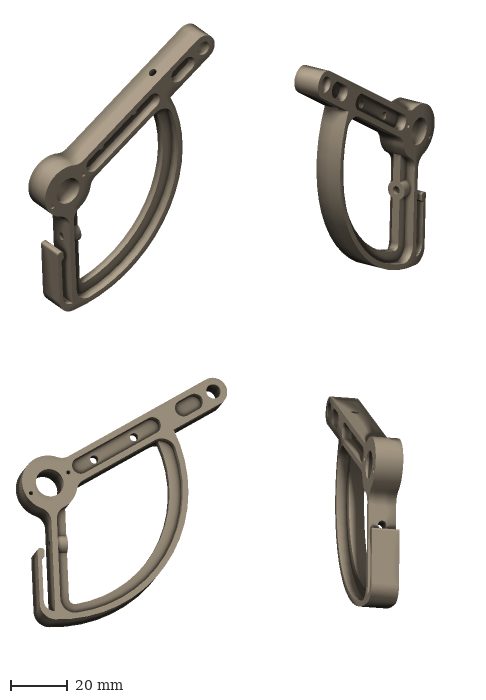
import cadquery as cq
import math

thickness = 10.0
recess_depth = 3.5
half_thickness = thickness / 2

tilt = 2.4
arm_angle = 150

hub_radius = 10.0
bore_radius = 5.0
pin_hole_radius = 0.7
pin_circle_radius = 8.0
blend_radius = 5.0

arm_length = 70.0
arm_half_width = 5.0
end_hole_radius = 3.0
end_hole_lip_radius = 2.6
end_hole_lip_length = 1.0
pocket_radius = 3.0
pocket_spans = [(13.05, 44.05), (57.0, 62)]
arm_hole_stations = [20.0, 37]
screw_radius = 1.5
arm_screw_station = 51.3

rim_radius = 50.1
rim_width = 2.0
web_width = 4.0
web_corner_radius = 2.0
recess_radius = rim_radius - rim_width
window_radius = recess_radius - web_width
window_edge = -(rim_width + web_width)

boss_radius = 3.5
boss_drop = 21.5

hook_gap = 4.0
hook_thickness = 1.5
hook_edge = hook_gap + hook_thickness
hook_top = -24.1
hook_floor_radius = 47.0
hook_outer_corner = 5.5
hook_inner_corner = 3.7
tip_projection = 1.0
tip_height = 2.8
tip_ramp = 0.9
tip_rounding = 0.9

slant = math.radians(tilt)
plane = cq.Plane(
    origin=(0, 0, 0),
    xDir=(0, -math.cos(slant), -math.sin(slant)),
    normal=(-1, 0, 0),
)


def section():
    return cq.Workplane(plane)


def disc(radius, center=(0, 0)):
    return section().center(*center).circle(radius).extrude(half_thickness, both=True)


def block(left, right, bottom, top):
    sketch = section().center((left + right) / 2, (bottom + top) / 2)
    return sketch.rect(right - left, top - bottom).extrude(half_thickness, both=True)


def prism(points):
    return section().polyline(points).close().extrude(half_thickness, both=True)


def polar(radius, angle):
    return radius * math.cos(math.radians(angle)), radius * math.sin(math.radians(angle))


def on_arm(station, offset=0):
    """Point at a station along the arm, offset towards its upper edge."""
    along = polar(station, arm_angle)
    across = polar(offset, arm_angle - 90)
    return along[0] + across[0], along[1] + across[1]


def stadium(start, end, radius):
    sides = [on_arm(start, radius), on_arm(end, radius), on_arm(end, -radius), on_arm(start, -radius)]
    return prism(sides).union(disc(radius, on_arm(start))).union(disc(radius, on_arm(end)))


def round_edge(solid, point, radius):
    """Round the thickness-direction edge closest to a point of the working plane."""
    target = plane.toWorldCoords((*point, 0)).toTuple()
    return solid.edges("|X").edges(cq.selectors.NearestToPointSelector(target)).fillet(radius)


def wedge(radius):
    reach = 2 * radius
    points = [(0, 0), (0, -reach), (-reach, -reach), polar(reach, arm_angle)]
    return disc(radius).intersect(prism(points))


def make_hook():
    hook = disc(rim_radius).intersect(block(-hook_edge, hook_edge, -rim_radius, hook_top))
    corner_height = math.sqrt(rim_radius**2 - hook_edge**2)
    hook = round_edge(hook, (hook_edge, -corner_height), hook_outer_corner)

    gap = disc(hook_floor_radius).intersect(block(0, hook_gap, -rim_radius, hook_top))
    gap_depth = math.sqrt(hook_floor_radius**2 - hook_gap**2)
    gap = round_edge(gap, (hook_gap, -gap_depth), hook_inner_corner)

    tip_left = hook_gap - tip_projection
    tip_bottom = hook_top - tip_height
    tip = prism([
        (hook_edge, hook_top),
        (tip_left, hook_top),
        (tip_left, tip_bottom),
        (hook_gap, tip_bottom - tip_ramp),
        (hook_edge, tip_bottom - tip_ramp),
    ])
    hook = hook.cut(gap).union(tip)
    for corner in (tip_left, hook_edge):
        hook = round_edge(hook, (corner, hook_top), tip_rounding)
    return hook


hub = disc(hub_radius)
arm = stadium(0, arm_length, arm_half_width)

body = wedge(rim_radius).union(arm).union(hub)
junction = math.sqrt(hub_radius**2 - arm_half_width**2)
body = round_edge(body, on_arm(junction, arm_half_width), blend_radius)
body = round_edge(body, (0, -hub_radius), blend_radius)
body = body.union(make_hook())

recess = wedge(recess_radius).intersect(block(-rim_radius, -rim_width, -rim_radius, rim_radius))
recess = recess.cut(arm).cut(hub).edges("|X").fillet(blend_radius)

window_bounds = disc(window_radius).intersect(block(-rim_radius, window_edge, -rim_radius, rim_radius))
window_drop = math.sqrt(window_radius**2 - window_edge**2)
window_bounds = round_edge(window_bounds, (window_edge, -window_drop), web_corner_radius)
window = recess.intersect(window_bounds)

web_zone = cq.Workplane().box(thickness - 2 * recess_depth, 4 * arm_length, 4 * arm_length)
hollows = recess
for start, end in pocket_spans:
    hollows = hollows.union(stadium(start, end, pocket_radius))
body = body.cut(hollows.cut(web_zone)).cut(window)

strut_axis = cq.Vector(*(-plane.xDir).toTuple())
boss_base = plane.toWorldCoords((0, -boss_drop, 0))
boss = cq.Solid.makeCylinder(boss_radius, -window_edge, boss_base, strut_axis)
body = body.union(cq.Workplane(boss))

body = body.cut(cq.Workplane(cq.Solid.makeCylinder(screw_radius, -window_edge, boss_base, strut_axis)))
arm_screw_start = plane.toWorldCoords((*on_arm(arm_screw_station, arm_half_width), 0))
arm_screw_end = plane.toWorldCoords((*on_arm(arm_screw_station, -arm_half_width), 0))
arm_screw = cq.Solid.makeCylinder(
    screw_radius, 2 * arm_half_width, arm_screw_start, arm_screw_end - arm_screw_start
)
body = body.cut(cq.Workplane(arm_screw))

body = body.cut(disc(bore_radius))
for station in (pin_circle_radius, -pin_circle_radius):
    body = body.cut(disc(pin_hole_radius, on_arm(station)))
for station in arm_hole_stations:
    body = body.cut(disc(screw_radius, on_arm(station)))
body = body.cut(disc(end_hole_lip_radius, on_arm(arm_length)))
end_hole = disc(end_hole_radius, on_arm(arm_length)).translate((-end_hole_lip_length, 0, 0))
result = body.cut(end_hole)